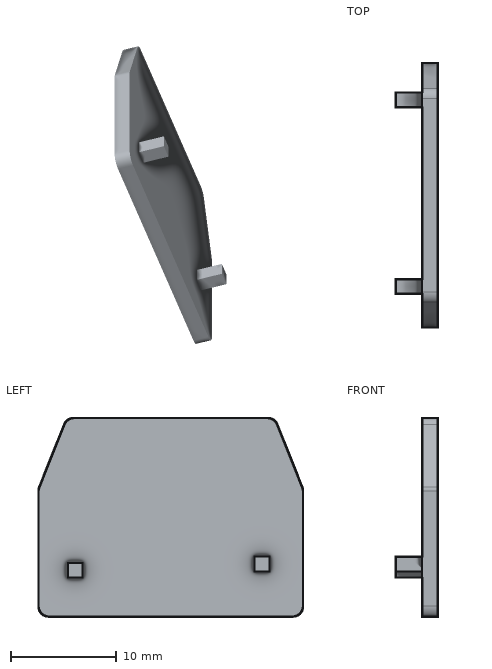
import cadquery as cq

plate_thickness = 1.5
plate_width = 25.1
plate_height = 18.85
shoulder_height = 12.1
top_inset = 2.69
corner_radius = 1.0

peg_side = 1.4
peg_length = 2.5
peg_centers = [(9.05, 4.4), (-8.65, 5.0)]


def make_plate():
    half_width = plate_width / 2
    half_top = half_width - top_inset
    outline = [
        (-half_width, 0),
        (half_width, 0),
        (half_width, shoulder_height),
        (half_top, plate_height),
        (-half_top, plate_height),
        (-half_width, shoulder_height),
    ]
    plate = cq.Workplane("YZ").polyline(outline).close().extrude(plate_thickness)
    return plate.edges("|X").fillet(corner_radius)


def make_pegs():
    pegs = cq.Workplane("YZ").pushPoints(peg_centers)
    return pegs.rect(peg_side, peg_side).extrude(-peg_length)


result = make_plate().union(make_pegs())